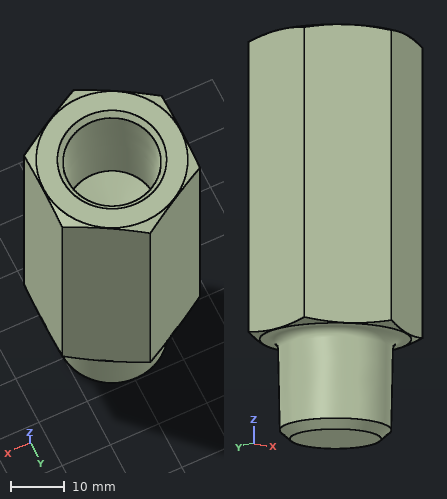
import cadquery as cq
import math

TOTAL_LENGTH = 76.2
HEX_SIDES = 6
HEX_ACROSS_FLATS = 28.6
HEX_LENGTH = 57.15
BEVEL_FACE_RADIUS = 14.2
BEVEL_ANGLE = 20

SPIGOT_TOP_RADIUS = 10.75
SPIGOT_TIP_RADIUS = 10.45
SPIGOT_TIP_CHAMFER_HEIGHT = 1.7
SPIGOT_TIP_CHAMFER_WIDTH = 1.9
NECK_FILLET_RADIUS = 1.9

COUNTERSINK_RADIUS = 10.2
SOCKET_TOP_RADIUS = 9.15
BORE_RADIUS = 8.7
SOCKET_TAPER_LENGTH = 10.7
BORE_DEPTH = 22.85
DRILL_POINT_ANGLE = 118

HEX_BOTTOM = TOTAL_LENGTH - HEX_LENGTH
HEX_CORNER_RADIUS = HEX_ACROSS_FLATS / math.sqrt(3)


def hex_body():
    """Upright hexagonal bar with flats facing +X and -X and conical bevels at both ends."""
    bar = (
        cq.Workplane("XY", origin=(0, 0, HEX_BOTTOM))
        .polygon(HEX_SIDES, 2 * HEX_CORNER_RADIUS)
        .extrude(HEX_LENGTH)
        .rotate((0, 0, 0), (0, 0, 1), 180 / HEX_SIDES)
    )
    bevel_drop = (HEX_CORNER_RADIUS - BEVEL_FACE_RADIUS) * math.tan(math.radians(BEVEL_ANGLE))
    envelope = (
        cq.Workplane("XZ")
        .moveTo(0, HEX_BOTTOM)
        .lineTo(BEVEL_FACE_RADIUS, HEX_BOTTOM)
        .lineTo(HEX_CORNER_RADIUS, HEX_BOTTOM + bevel_drop)
        .lineTo(HEX_CORNER_RADIUS, TOTAL_LENGTH - bevel_drop)
        .lineTo(BEVEL_FACE_RADIUS, TOTAL_LENGTH)
        .lineTo(0, TOTAL_LENGTH)
        .close()
        .revolve(360, (0, 0, 0), (0, 1, 0))
    )
    return bar.intersect(envelope)


def spigot():
    """Tapered round spigot, chamfered at the tip and flared by a quarter-round into the body."""
    fillet_bottom = HEX_BOTTOM - NECK_FILLET_RADIUS
    fillet_centre_radius = SPIGOT_TOP_RADIUS + NECK_FILLET_RADIUS
    arc_offset = NECK_FILLET_RADIUS * math.sqrt(0.5)
    return (
        cq.Workplane("XZ")
        .lineTo(SPIGOT_TIP_RADIUS - SPIGOT_TIP_CHAMFER_WIDTH, 0)
        .lineTo(SPIGOT_TIP_RADIUS, SPIGOT_TIP_CHAMFER_HEIGHT)
        .lineTo(SPIGOT_TOP_RADIUS, fillet_bottom)
        .threePointArc(
            (fillet_centre_radius - arc_offset, fillet_bottom + arc_offset),
            (fillet_centre_radius, HEX_BOTTOM),
        )
        .lineTo(0, HEX_BOTTOM)
        .close()
        .revolve(360, (0, 0, 0), (0, 1, 0))
    )


def socket():
    """Cavity: 45 degree countersink, tapered socket, straight bore and conical drill point."""
    socket_top = TOTAL_LENGTH - (COUNTERSINK_RADIUS - SOCKET_TOP_RADIUS)
    socket_bottom = socket_top - SOCKET_TAPER_LENGTH
    bore_bottom = TOTAL_LENGTH - BORE_DEPTH
    point_height = BORE_RADIUS / math.tan(math.radians(DRILL_POINT_ANGLE / 2))
    return (
        cq.Workplane("XZ")
        .moveTo(0, TOTAL_LENGTH)
        .lineTo(COUNTERSINK_RADIUS, TOTAL_LENGTH)
        .lineTo(SOCKET_TOP_RADIUS, socket_top)
        .lineTo(BORE_RADIUS, socket_bottom)
        .lineTo(BORE_RADIUS, bore_bottom)
        .lineTo(0, bore_bottom - point_height)
        .close()
        .revolve(360, (0, 0, 0), (0, 1, 0))
    )


result = hex_body().union(spigot()).cut(socket())